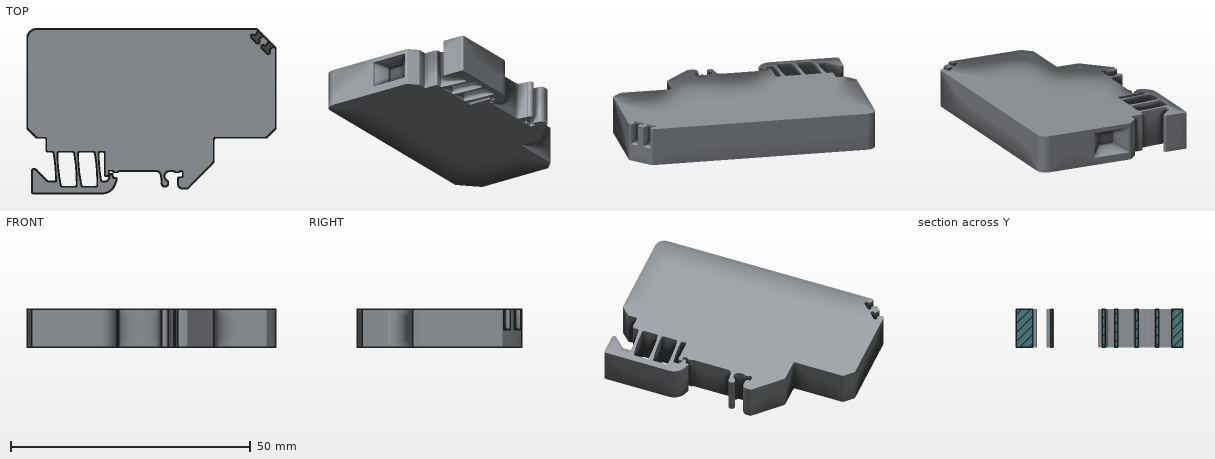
import cadquery as cq
import math

LENGTH = 52.0
HEIGHT = 34.45
THICKNESS = 8.0

HOUSING_BOTTOM = 11.68
TOP_LEFT_RADIUS = 4.1 / 2
TOP_RIGHT_CHAMFER = 4.05
CHAMFER_ANGLE = 45.0
LOWER_CHAMFER = 1.95
CHAMFER_BLEND = 0.6
SMALL_BLEND = 0.4
FINE_BLEND = 0.25
LEG_ROOT_RADIUS = 0.33
LEG_LEFT = 3.99
LEG_RIGHT = 39.05
LEG_RIGHT_LOW = 6.6
LEG_CORNER_RADIUS = 1.1

SPRING_ROOT = 8.72
SLOT_WALL = 16.21
STOP_BOTTOM = 3.68
STOP_RIGHT = 17.08
SEAT = 4.69
SEAT_RELIEF = 4.79
RIB_DEPTH = 0.22
RIB_WIDTH = 0.8
RIB_SLOPE = 0.25
LEFT_RIB = 18.53
RIGHT_RIB = 31.33

HOOK_LEFT = 31.51
HOOK_BOTTOM = 1.04
HOOK_NOSE_RADIUS = 1.0
HOOK_TOP = 3.44
HOOK_THROAT = 32.51

FINGER_LEFT = 27.93
BEAD_X = 28.81
STEM_LEFT_LOW = 28.19
BEAD_Y = 2.19
BEAD_RADIUS = 0.73
FINGER_ROOT_RADIUS = 0.9
RELIEF_X = 29.74
RELIEF_RADIUS = 1.02

FOOT_LEFT = 0.99
FOOT_FLOOR = 1.49
FOOT_LEDGE = 2.58
LEDGE_LEFT = 4.31
FOOT_CATCH_RADIUS = 0.5
TOE_ARC_X = 15.62
TOE_ARC_RADIUS = 2.98
TOE_ANGLE = 70.0
TOE_TIP_X = 18.87
TOE_TIP_Y = 3.28
LATCH_ROOT_X = 16.73
LATCH_LEFT = 17.2
LATCH_RIGHT = 17.83
LATCH_NOTCH_X = 18.03
LATCH_SHOULDER = 3.4
LATCH_TOP = 4.15
LEDGE_STEP_INSET = 0.35
WEB_COUNT = 3
WEB_PITCH = 4.31
WEB_RADIUS = 35.0
WEB_LEFT = 6.02
WEB_RIGHT = 6.35
WEB_CORNER = 0.25

POCKET_Y = (14.0, 22.08)
POCKET_Z = (1.58, 7.08)
POCKET_FLOOR_Y = (16.3, 20.02)
POCKET_FLOOR_Z = (3.02, 6.24)
POCKET_RIM = 0.44
POCKET_TAPER = 2.07
POCKET_WELL = 0.8
POCKET_CORNER = 0.25

MARKER_PITCH = 3.1
MARKER_DEPTH = 4.0
HEAD_LENGTH = 2.35
HEAD_WIDTH = 0.83
HEAD_OFFSET = 1.7
NECK_WIDTH = 1.2
LIP_FLARE = 0.32
LIP_HEIGHT = 0.85
NECK_FLOOR_ANGLE = 15.0


def rounded_outline(corners):
    """Closed wire through (x, y, radius) corners, each rounded by a tangent arc."""
    outline = cq.Workplane()
    count = len(corners)
    for i, (x, y, radius) in enumerate(corners):
        corner = cq.Vector(x, y)
        to_last = (cq.Vector(*corners[i - 1][:2]) - corner).normalized()
        to_next = (cq.Vector(*corners[(i + 1) % count][:2]) - corner).normalized()
        half_angle = to_last.getAngle(to_next) / 2
        setback = radius / math.tan(half_angle)
        start = corner + to_last * setback
        step = outline.moveTo if i == 0 else outline.lineTo
        outline = step(start.x, start.y)
        if radius > 0:
            inward = (to_last + to_next).normalized()
            middle = corner + inward * (radius / math.sin(half_angle) - radius)
            end = corner + to_next * setback
            outline = outline.threePointArc((middle.x, middle.y), (end.x, end.y))
    return outline.close()


def plate(corners):
    """Full-thickness plate with a rounded outline."""
    return rounded_outline(corners).extrude(THICKNESS)


def make_housing():
    """Housing plate with its leg, rail seat, stop and fixed hook, clockwise from the top left."""
    hook_slope_right = LEG_RIGHT - (LEG_RIGHT_LOW - HOOK_BOTTOM)
    return plate([
        (0, HEIGHT, TOP_LEFT_RADIUS),
        (LENGTH - TOP_RIGHT_CHAMFER, HEIGHT, CHAMFER_BLEND),
        (LENGTH, HEIGHT - TOP_RIGHT_CHAMFER, CHAMFER_BLEND),
        (LENGTH, HOUSING_BOTTOM + LOWER_CHAMFER, SMALL_BLEND),
        (LENGTH - LOWER_CHAMFER, HOUSING_BOTTOM, SMALL_BLEND),
        (LEG_RIGHT, HOUSING_BOTTOM, SMALL_BLEND),
        (LEG_RIGHT, LEG_RIGHT_LOW, LEG_CORNER_RADIUS),
        (hook_slope_right, HOOK_BOTTOM, FINE_BLEND),
        (HOOK_LEFT, HOOK_BOTTOM, HOOK_NOSE_RADIUS),
        (HOOK_LEFT, HOOK_TOP, SMALL_BLEND),
        (HOOK_THROAT, HOOK_TOP, FINE_BLEND),
        (HOOK_THROAT, SEAT, FINE_BLEND),
        (STOP_RIGHT, SEAT, 0),
        (STOP_RIGHT, STOP_BOTTOM, 0),
        (SLOT_WALL, STOP_BOTTOM, FINE_BLEND),
        (SLOT_WALL, SPRING_ROOT, WEB_CORNER),
        (LEG_LEFT, SPRING_ROOT, SMALL_BLEND),
        (LEG_LEFT, HOUSING_BOTTOM, LEG_ROOT_RADIUS),
        (LOWER_CHAMFER, HOUSING_BOTTOM, SMALL_BLEND),
        (0, HOUSING_BOTTOM + LOWER_CHAMFER, SMALL_BLEND),
    ])


def make_seat_rib(center_x):
    """Small rib with sloping flanks hanging from the rail seat."""
    tip = RIB_WIDTH / 2
    root = tip + RIB_SLOPE
    return plate([
        (center_x - root, SEAT, 0),
        (center_x - tip, SEAT - RIB_DEPTH, 0),
        (center_x + tip, SEAT - RIB_DEPTH, 0),
        (center_x + root, SEAT, 0),
    ])


def make_seat_relief():
    """Shallow groove above the seat, in the corner beside the stop."""
    return plate([
        (STOP_RIGHT, SEAT - RIB_DEPTH, 0),
        (STOP_RIGHT, SEAT_RELIEF, FINE_BLEND),
        (LEFT_RIB - RIB_WIDTH / 2 - RIB_SLOPE / 2, SEAT_RELIEF, 0),
        (LEFT_RIB - RIB_WIDTH / 2, SEAT - RIB_DEPTH, 0),
    ])


def make_finger():
    """Snap finger: a waisted stem ending in a round bead."""
    blend_middle = FINGER_ROOT_RADIUS * (1 - math.sqrt(0.5))
    stem = (
        cq.Workplane()
        .moveTo(FINGER_LEFT - FINGER_ROOT_RADIUS, SEAT)
        .threePointArc(
            (FINGER_LEFT - blend_middle, SEAT - blend_middle),
            (FINGER_LEFT, SEAT - FINGER_ROOT_RADIUS),
        )
        .lineTo(STEM_LEFT_LOW, BEAD_Y)
        .lineTo(BEAD_X, BEAD_Y)
        .lineTo(RELIEF_X, SEAT - RELIEF_RADIUS)
        .lineTo(RELIEF_X, SEAT)
        .close()
        .extrude(THICKNESS)
    )
    relief = cq.Workplane().center(RELIEF_X, SEAT - RELIEF_RADIUS).circle(RELIEF_RADIUS).extrude(THICKNESS)
    bead = cq.Workplane().center(BEAD_X, BEAD_Y).circle(BEAD_RADIUS).extrude(THICKNESS)
    return stem.cut(relief).union(bead)


def make_foot():
    """Foot bar with a sloped catch on the left and a rounded toe on the right."""
    step_left = WEB_LEFT + LEDGE_STEP_INSET
    step_right = step_left + (WEB_COUNT - 1) * WEB_PITCH
    toe_corner = TOE_ARC_X + TOE_ARC_RADIUS * math.tan(math.radians(TOE_ANGLE / 2))
    catch_top = FOOT_LEDGE + LEDGE_LEFT - FOOT_LEFT
    return plate([
        (FOOT_LEFT, 0, SMALL_BLEND),
        (FOOT_LEFT, catch_top, FOOT_CATCH_RADIUS),
        (LEDGE_LEFT, FOOT_LEDGE, SMALL_BLEND),
        (step_left, FOOT_LEDGE, 0),
        (step_left, FOOT_FLOOR, 0),
        (step_right, FOOT_FLOOR, 0),
        (step_right, FOOT_LEDGE, 0),
        (LATCH_ROOT_X, FOOT_LEDGE, SMALL_BLEND),
        (LATCH_LEFT, LATCH_SHOULDER, SMALL_BLEND),
        (LATCH_LEFT, LATCH_TOP, FINE_BLEND),
        (LATCH_RIGHT, LATCH_TOP, FINE_BLEND),
        (LATCH_NOTCH_X, TOE_TIP_Y, FINE_BLEND),
        (TOE_TIP_X, TOE_TIP_Y, FINE_BLEND),
        (toe_corner, 0, TOE_ARC_RADIUS),
    ])


def make_web(index):
    """Spring web with two arched sides, joining the foot to the housing."""
    left = WEB_LEFT + index * WEB_PITCH
    right = WEB_RIGHT + index * WEB_PITCH

    def sag(rise):
        return WEB_RADIUS - math.sqrt(WEB_RADIUS**2 - rise**2)

    left_rise = SPRING_ROOT - FOOT_LEDGE
    right_drop = SPRING_ROOT - FOOT_FLOOR
    return (
        cq.Workplane()
        .moveTo(left - sag(left_rise), SPRING_ROOT)
        .lineTo(right, SPRING_ROOT)
        .threePointArc(
            (right + sag(right_drop / 2), SPRING_ROOT - right_drop / 2),
            (right + sag(right_drop), FOOT_FLOOR),
        )
        .lineTo(left, FOOT_FLOOR)
        .lineTo(left, FOOT_LEDGE)
        .threePointArc(
            (left - sag(left_rise / 2), FOOT_LEDGE + left_rise / 2),
            (left - sag(left_rise), SPRING_ROOT),
        )
        .close()
        .extrude(THICKNESS)
    )


def round_web_corners(part):
    """Round the corners where the webs meet the housing, the foot floor and the right ledge."""
    last_web = WEB_RIGHT + (WEB_COUNT - 1) * WEB_PITCH
    margin = 0.1
    for level, x_min, x_max in (
        (SPRING_ROOT, WEB_LEFT - WEB_PITCH / 4, last_web + margin),
        (FOOT_FLOOR, WEB_RIGHT, last_web),
        (FOOT_LEDGE, last_web, last_web + WEB_PITCH / 4),
    ):
        corner_box = cq.selectors.BoxSelector(
            (x_min, level - margin, -margin),
            (x_max, level + margin, THICKNESS + margin),
        )
        part = part.edges("|Z").edges(corner_box).fillet(WEB_CORNER)
    return part


def make_pocket():
    """Rectangular pocket in the left end: straight rim, tapered walls, then a smaller straight well."""

    def block(x, y_range, z_range, depth):
        center = (x, sum(y_range) / 2, sum(z_range) / 2)
        width = y_range[1] - y_range[0]
        height = z_range[1] - z_range[0]
        bare_block = cq.Workplane("YZ", origin=center).rect(width, height).extrude(depth)
        return bare_block.edges("|X").fillet(POCKET_CORNER)

    rim = block(0, POCKET_Y, POCKET_Z, POCKET_RIM)
    well = block(POCKET_RIM + POCKET_TAPER, POCKET_FLOOR_Y, POCKET_FLOOR_Z, POCKET_WELL)
    taper_ends = [rim.faces(">X").wires().val(), well.faces("<X").wires().val()]
    taper = cq.Workplane(cq.Solid.makeLoft(taper_ends, True))
    return rim.union(taper).union(well)


def make_marker_slot(offset):
    """T-slot cut from the upper face: a round-ended head and a flared neck with a sloping floor.

    Built with the chamfer face on the YZ plane and outward along +X, then turned into place.
    """
    floor_z = THICKNESS - MARKER_DEPTH
    head = (
        cq.Workplane(origin=(-HEAD_OFFSET, 0, floor_z))
        .slot2D(HEAD_LENGTH, HEAD_WIDTH, 90)
        .extrude(MARKER_DEPTH)
    )
    neck_back = -HEAD_OFFSET + HEAD_WIDTH / 2
    half_neck = NECK_WIDTH / 2
    half_mouth = half_neck + LIP_FLARE
    half_profile = (
        cq.Workplane()
        .moveTo(neck_back, 0)
        .lineTo(neck_back, half_neck)
        .lineTo(-LIP_HEIGHT, half_neck)
        .tangentArcPoint((0, half_mouth), relative=False)
        .lineTo(0, 0)
        .close()
        .extrude(THICKNESS)
    )
    neck = half_profile.union(half_profile.mirror("XZ"))
    neck_drop = -neck_back * math.tan(math.radians(NECK_FLOOR_ANGLE))
    neck_space = (
        cq.Workplane("XZ")
        .polyline([(neck_back, floor_z), (0, floor_z - neck_drop), (0, THICKNESS), (neck_back, THICKNESS)])
        .close()
        .extrude(half_mouth, both=True)
    )
    overlap = HEAD_WIDTH / 2
    joint = (
        cq.Workplane()
        .box(overlap, NECK_WIDTH, MARKER_DEPTH, centered=(False, True, False))
        .translate((neck_back - overlap, 0, floor_z))
    )
    chamfer_middle = (LENGTH - TOP_RIGHT_CHAMFER / 2, HEIGHT - TOP_RIGHT_CHAMFER / 2, 0)
    slot = head.union(joint).union(neck.intersect(neck_space))
    return slot.translate((0, offset, 0)).rotate((0, 0, 0), (0, 0, 1), CHAMFER_ANGLE).translate(chamfer_middle)


result = make_housing().cut(make_seat_relief())
for rib_x in (LEFT_RIB, RIGHT_RIB):
    result = result.union(make_seat_rib(rib_x))
result = result.union(make_finger())
result = result.union(make_foot())
for web in range(WEB_COUNT):
    result = result.union(make_web(web))
result = round_web_corners(result)
result = result.cut(make_pocket())
for side in (-1, 1):
    result = result.cut(make_marker_slot(side * MARKER_PITCH / 2))